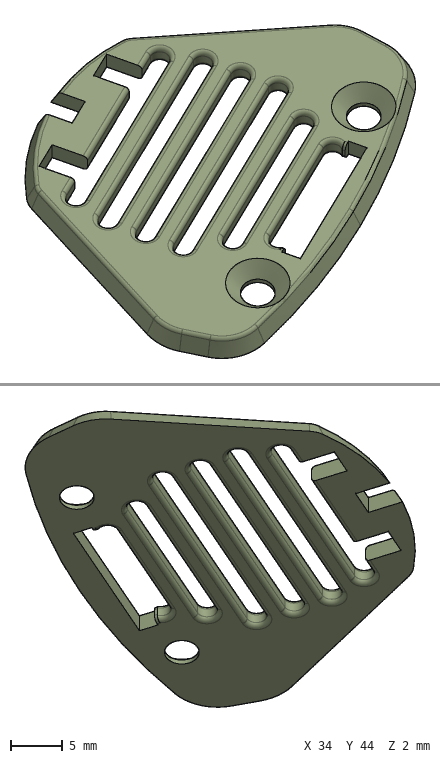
import cadquery as cq
import math

thickness = 2.0
draft_angle = 25.0
top_edge_radius = 0.5

left_x = -0.05
left_bow_radius = 20.0
right_x = 34.05
right_bow_radius = 68.6
side_angle = 29.8
side_start = (4.2, 11.7)
shoulder_angle = -10.0
shoulder_end = (27.7, 21.35)
left_corner_radius = 2.8
side_corner_radius = 5.67
right_corner_radius = 5.35

slot_first_x = 7.9
slot_pitch = 4.05
slot_radius = 1.0
slot_edge_radius = 0.5
slot_half_lengths = (9.7, 11.0, 11.0, 11.0, 8.22, 6.2)

tab_opening_left = 3.08
tab_opening_y = 6.35
tab_opening_width = 3.0
notch_right = 3.7
window_left = 28.85
window_right = 31.15
window_half_width = 7.75

lip_length = 0.3
lip_depth = 0.8
lip_edge_radius = 0.6

screw_x = 28.65
screw_y = 12.3
screw_hole_diameter = 3.4
screw_head_diameter = 6.3
screw_head_angle = 90.0


def normal_of(angle):
    """Outward (left-hand) unit normal of a line that rises at an angle to X."""
    return -math.sin(math.radians(angle)), math.cos(math.radians(angle))


def moved(point, direction, distance):
    return point[0] + distance * direction[0], point[1] + distance * direction[1]


def towards(start, end):
    length = math.dist(start, end)
    return (end[0] - start[0]) / length, (end[1] - start[1]) / length


def line_circle_hit(point, angle, centre_x, radius, side):
    """Hit of a line on a circle centred on the X axis; side is -1 for the left hit, +1 for the right."""
    slope = math.tan(math.radians(angle))
    base = point[1] - slope * point[0]
    a = 1 + slope**2
    b = 2 * (slope * base - centre_x)
    c = centre_x**2 + base**2 - radius**2
    x = (-b + side * math.sqrt(b**2 - 4 * a * c)) / (2 * a)
    return x, slope * x + base


def line_line_hit(point_a, angle_a, point_b, angle_b):
    slope_a = math.tan(math.radians(angle_a))
    slope_b = math.tan(math.radians(angle_b))
    x = (point_b[1] - point_a[1] + slope_a * point_a[0] - slope_b * point_b[0]) / (slope_a - slope_b)
    return x, point_a[1] + slope_a * (x - point_a[0])


def bow_corner(point, angle, bow_centre_x, bow_radius, radius, side):
    """Arc rounding a straight side into an end bow: bow tangent point, middle, side tangent point."""
    normal = normal_of(angle)
    inset_point = moved(point, normal, -radius)
    centre = line_circle_hit(inset_point, angle, bow_centre_x, bow_radius - radius, side)
    on_bow = moved(centre, towards((bow_centre_x, 0), centre), radius)
    return corner_arc(centre, radius, on_bow, moved(centre, normal, radius))


def corner_arc(centre, radius, start, end):
    chord_middle = ((start[0] + end[0]) / 2, (start[1] + end[1]) / 2)
    return start, moved(centre, towards(centre, chord_middle), radius), end


def bow_middle(end, centre_x, radius, side):
    """Middle of the bow stretch between the X axis and its end point."""
    half_angle = math.asin(end[1] / radius) / 2
    return centre_x + side * radius * math.cos(half_angle), radius * math.sin(half_angle)


def outline():
    left_centre_x = left_x + left_bow_radius
    right_centre_x = right_x - right_bow_radius
    left_bow_end, left_middle, side_begin = bow_corner(
        side_start, side_angle, left_centre_x, left_bow_radius, left_corner_radius, -1
    )
    right_bow_end, right_middle, shoulder_stop = bow_corner(
        shoulder_end, shoulder_angle, right_centre_x, right_bow_radius, right_corner_radius, 1
    )
    side_normal = normal_of(side_angle)
    shoulder_normal = normal_of(shoulder_angle)
    side_corner_centre = line_line_hit(
        moved(side_start, side_normal, -side_corner_radius),
        side_angle,
        moved(shoulder_end, shoulder_normal, -side_corner_radius),
        shoulder_angle,
    )
    side_stop, side_middle, shoulder_begin = corner_arc(
        side_corner_centre,
        side_corner_radius,
        moved(side_corner_centre, side_normal, side_corner_radius),
        moved(side_corner_centre, shoulder_normal, side_corner_radius),
    )
    return (
        cq.Workplane("XY")
        .moveTo(left_x, 0)
        .threePointArc(bow_middle(left_bow_end, left_centre_x, left_bow_radius, -1), left_bow_end)
        .threePointArc(left_middle, side_begin)
        .lineTo(*side_stop)
        .threePointArc(side_middle, shoulder_begin)
        .lineTo(*shoulder_stop)
        .threePointArc(right_middle, right_bow_end)
        .threePointArc(bow_middle(right_bow_end, right_centre_x, right_bow_radius, 1), (right_x, 0))
        .mirrorX()
    )


def plate():
    body = outline().extrude(thickness, taper=draft_angle)
    return body.faces(">Z").edges().fillet(top_edge_radius)


def with_slot(body, x, half_length):
    """Cut one through slot along Y and round its top and bottom rims."""
    half_reach = half_length + slot_radius
    body = body.cut(
        cq.Workplane("XY").center(x, 0).slot2D(2 * half_reach, 2 * slot_radius, 90).extrude(thickness)
    )
    around_slot = cq.selectors.BoxSelector(
        (x - slot_radius - slot_edge_radius, -half_reach - slot_edge_radius, -thickness),
        (x + slot_radius + slot_edge_radius, half_reach + slot_edge_radius, 2 * thickness),
    )
    return body.faces("<Z or >Z").edges(around_slot).fillet(slot_edge_radius)


def opening_cutter(x_min, x_max, y_centre, width):
    return (
        cq.Workplane("XY")
        .center((x_min + x_max) / 2, y_centre)
        .rect(x_max - x_min, width)
        .extrude(thickness)
    )


def window_lip(side):
    """Small block on a window end wall, with the rounded rims of the slot edge."""
    inner_selector = "<Y" if side > 0 else ">Y"
    return (
        opening_cutter(
            window_left,
            window_left + lip_length,
            side * (window_half_width - lip_depth / 2),
            lip_depth,
        )
        .faces(inner_selector)
        .edges("|X")
        .fillet(lip_edge_radius)
    )


result = plate()

for index, half_length in enumerate(slot_half_lengths):
    result = with_slot(result, slot_first_x + index * slot_pitch, half_length)

for side in (-1, 1):
    result = result.cut(
        opening_cutter(tab_opening_left, slot_first_x, side * tab_opening_y, tab_opening_width)
    )
result = result.cut(opening_cutter(left_x, notch_right, 0, tab_opening_width))

result = result.cut(opening_cutter(window_left, window_right, 0, 2 * window_half_width))
for side in (-1, 1):
    result = result.union(window_lip(side))

result = (
    result.faces(">Z")
    .workplane(origin=(0, 0, thickness))
    .pushPoints([(screw_x, -screw_y), (screw_x, screw_y)])
    .cskHole(screw_hole_diameter, screw_head_diameter, screw_head_angle)
)